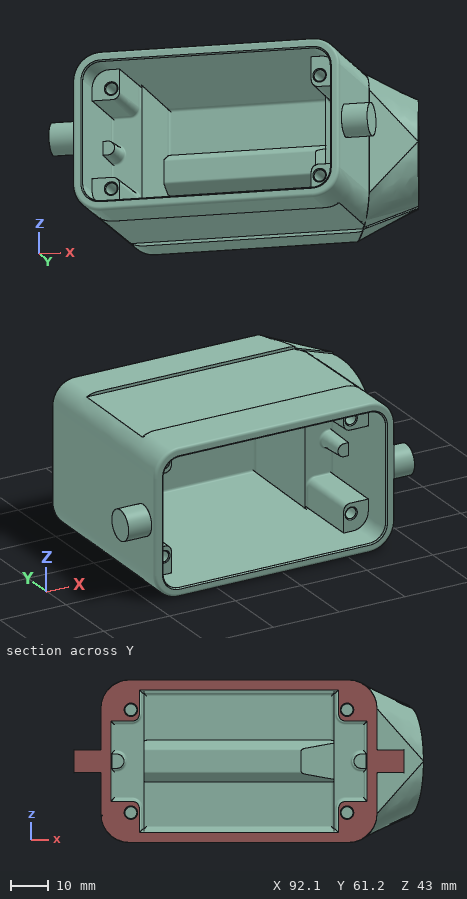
import cadquery as cq
import math

body_width = 72.95
body_height = 43.0
body_depth = 57.1
corner_radius = 7.55
draft_angle = 0.4
back_fillet = 3.4
rim_fillet = 0.9

beyond = 92.1
chamfer_angle = 45.0

recess_front = 13.2
recess_back = 43.2
recess_half_height = 20.4

peg_reach = 43.5
peg_radius = 4.4
peg_y = 6.2

outlet_radius = 14.2
outlet_tilt = 15.0
outlet_x = 44.95
outlet_y = 47.5

outlet_back_root = (25.4, 57.1, 17.8)
outlet_side_root_back = (26.8, 53.7, 20.6)
outlet_side_root_front = (32.5, 35.65, 20.4)
outlet_end_root = (36.2, 30.2, 14.0)
outlet_anchor = (18.4, 41.45, 0.0)

outlet_rise = 0.5
outlet_step_x = 32.0

wall = 2.7
cavity_draft = 1.0
mouth_chamfer = 0.4
ledge_y = 27.6
floor_y = 53.9
deep_width = 50.1
floor_fillet = 0.8
ledge_fillet = 0.6
edge_margin = 0.1

post_face_y = 9.2
post_size = 18.4
post_inner_x = 25.8
post_inner_z = 10.1
post_fillet = 2.3
post_draft = 1.2
screw_x = 28.5
screw_z = 13.5
screw_hole_diameter = 3.1
screw_hole_depth = 13.8
screw_chamfer = 0.3

rib_face_y = 19.3
rib_radius = 2.3
rib_center_x = 32.15
rib_draft = 3.0

ridge_base_half = 5.5
ridge_top_half = 3.2
ridge_fillet = 0.7
ridge_height = 4.6
ridge_slope_start = 16.4
ridge_slope_end_height = 1.5


def depth_plane(y):
    """Sketch plane at depth y, extruding toward +Y."""
    return cq.Workplane(cq.Plane(origin=(0, y, 0), xDir=(1, 0, 0), normal=(0, 1, 0)))


def drafted_block(width, height, radius, y_start, y_end, draft):
    """Round-cornered block that narrows toward +Y."""
    outline = cq.Sketch().rect(width, height).vertices().fillet(radius)
    return depth_plane(y_start).placeSketch(outline).extrude(y_end - y_start, taper=draft)


def block(x_range, y_range, z_range):
    sizes = [end - start for start, end in (x_range, y_range, z_range)]
    box = cq.Workplane().box(*sizes, centered=False)
    return box.translate((x_range[0], y_range[0], z_range[0]))


def body():
    shell = drafted_block(body_width, body_height, corner_radius, 0, body_depth, draft_angle)
    shell = shell.faces(">Y").edges().fillet(back_fillet)
    return shell.faces("<Y").edges().fillet(rim_fillet)


def label_recess(side):
    z_range = sorted((side * recess_half_height, side * beyond))
    return block((-beyond, beyond), (recess_front, recess_back), z_range)


def pegs():
    bar = cq.Workplane("YZ", origin=(-peg_reach, peg_y, 0))
    return bar.circle(peg_radius).extrude(2 * peg_reach)


def corner_trim():
    """Wedge that takes off the body corner lying beyond the outlet root."""
    back_x, back_y, _ = outlet_back_root
    end_x, end_y, _ = outlet_end_root
    outline = [
        (back_x, back_y),
        (end_x, end_y),
        (beyond, end_y),
        (beyond, beyond),
        (back_x, beyond),
    ]
    return cq.Workplane("XY").polyline(outline).close().extrude(beyond, both=True)


def outlet_point(angle, rise):
    """Point on the round outlet end; 0 degrees is the +Y side, 90 the +Z side."""
    across = outlet_radius * math.cos(math.radians(angle))
    tilt = math.radians(outlet_tilt)
    return cq.Vector(
        outlet_x - across * math.sin(tilt),
        outlet_y + across * math.cos(tilt),
        (outlet_radius + rise) * math.sin(math.radians(angle)),
    )


def triangle(a, b, c):
    return cq.Face.makeFromWires(cq.Wire.makePolygon([a, b, c], close=True))


def outlet(rise=0.0):
    """Four flat triangles joined by four conical corners, closed by the round end.

    The rise lifts the +Z and -Z flats outward.
    """
    upper = [outlet_back_root, outlet_side_root_back, outlet_side_root_front, outlet_end_root]
    upper = [(x, y, z + rise) for x, y, z in upper]
    lower = [(x, y, -z) for x, y, z in reversed(upper)]
    roots = [cq.Vector(*point) for point in upper + lower]
    anchor = cq.Vector(*outlet_anchor)
    faces = []
    rim = []
    for quarter in range(4):
        start_angle = 90 * quarter
        arc = cq.Edge.makeThreePointArc(
            outlet_point(start_angle, rise),
            outlet_point(start_angle + 45, rise),
            outlet_point(start_angle + 90, rise),
        )
        corner_start = roots[2 * quarter]
        corner_end = roots[2 * quarter + 1]
        next_corner = roots[(2 * quarter + 2) % len(roots)]
        corner = cq.Edge.makeLine(corner_start, corner_end)
        rim.append(arc)
        faces.append(cq.Face.makeRuledSurface(arc, corner))
        faces.append(triangle(corner_end, next_corner, outlet_point(start_angle + 90, rise)))
        faces.append(triangle(anchor, corner_start, corner_end))
        faces.append(triangle(anchor, corner_end, next_corner))
    faces.append(cq.Face.makeFromWires(cq.Wire.assembleEdges(rim)))
    return cq.Workplane(cq.Solid.makeSolid(cq.Shell.makeShell(faces)))


def raised_outlet():
    """The part of the lifted outlet lying behind the step."""
    region = cq.Workplane("XY").polyline([
        (0, recess_back),
        (outlet_step_x, recess_back),
        (outlet_x, outlet_y),
        (outlet_x, beyond),
        (0, beyond),
    ])
    return outlet(outlet_rise).intersect(region.close().extrude(beyond, both=True))


def ledge_plane():
    """Sketch plane on the ledges, extruding toward the open side."""
    return cq.Workplane("XZ", origin=(0, ledge_y, 0))


def post(x_side, z_side):
    """Drafted corner post, running past the side walls."""
    center = (x_side * (post_inner_x + post_size / 2), z_side * (post_inner_z + post_size / 2))
    outline = cq.Sketch().rect(post_size, post_size).vertices().fillet(post_fillet)
    return ledge_plane().center(*center).placeSketch(outline).extrude(ledge_y - post_face_y, taper=post_draft)


def end_rib(x_side):
    """Drafted rib with a round nose, running past the end wall."""
    length = body_width / 2 - rib_center_x + 2 * rib_radius
    center_x = x_side * (rib_center_x - rib_radius + length / 2)
    rib = ledge_plane().center(center_x, 0).slot2D(length, 2 * rib_radius)
    return rib.extrude(ledge_y - rib_face_y, taper=rib_draft)


def floor_ridge():
    half_length = deep_width / 2
    top_y = floor_y - ridge_height
    section = cq.Workplane("YZ", origin=(-half_length, 0, 0)).polyline([
        (floor_y, -ridge_base_half),
        (top_y, -ridge_top_half),
        (top_y, ridge_top_half),
        (floor_y, ridge_base_half),
    ])
    ridge = section.close().extrude(deep_width).faces("<Y").edges("|X").fillet(ridge_fillet)
    slope = cq.Workplane("XY").polyline([
        (ridge_slope_start, top_y),
        (half_length, top_y),
        (half_length, floor_y - ridge_slope_end_height),
    ])
    return ridge.cut(slope.close().extrude(ridge_base_half, both=True))


def cavity():
    """The empty space inside the hood."""
    width = body_width - 2 * wall
    height = body_height - 2 * wall
    radius = corner_radius - wall
    space = drafted_block(width, height, radius, 0, floor_y, cavity_draft)
    for side in (-1, 1):
        x_range = sorted((side * deep_width / 2, side * body_width / 2))
        z_range = (-body_height / 2, body_height / 2)
        space = space.cut(block(x_range, (ledge_y, body_depth), z_range))
    space = space.faces(">Y").edges().fillet(floor_fillet)
    for side in (-1, 1):
        space = space.cut(end_rib(side))
        for z_side in (-1, 1):
            space = space.cut(post(side, z_side))
    ledge_inner_edges = cq.selectors.BoxSelector(
        (-deep_width / 2 - edge_margin, -beyond, -beyond),
        (deep_width / 2 + edge_margin, beyond, beyond),
    )
    ledge_faces = cq.selectors.BoxSelector(
        (-beyond, ledge_y - edge_margin, -beyond),
        (beyond, ledge_y + edge_margin, beyond),
    )
    ledge_outline = cq.selectors.StringSyntaxSelector("#Y") - ledge_inner_edges
    space = space.faces(ledge_faces).edges(ledge_outline).fillet(ledge_fillet)
    mouth = drafted_block(
        width + 2 * mouth_chamfer,
        height + 2 * mouth_chamfer,
        radius + mouth_chamfer,
        0,
        mouth_chamfer,
        chamfer_angle,
    )
    return space.union(mouth).cut(floor_ridge())


def screw_holes():
    centers = [(x, z) for x in (-screw_x, screw_x) for z in (-screw_z, screw_z)]
    holes = depth_plane(post_face_y).pushPoints(centers).circle(screw_hole_diameter / 2)
    holes = holes.extrude(screw_hole_depth)
    mouths = depth_plane(post_face_y).pushPoints(centers)
    mouths = mouths.circle(screw_hole_diameter / 2 + screw_chamfer)
    mouths = mouths.extrude(screw_chamfer, taper=chamfer_angle)
    return holes.union(mouths)


hood = body().cut(corner_trim()).union(outlet())
for recess_side in (-1, 1):
    hood = hood.cut(label_recess(recess_side))
hood = hood.union(raised_outlet()).union(pegs())
result = hood.cut(cavity()).cut(screw_holes())